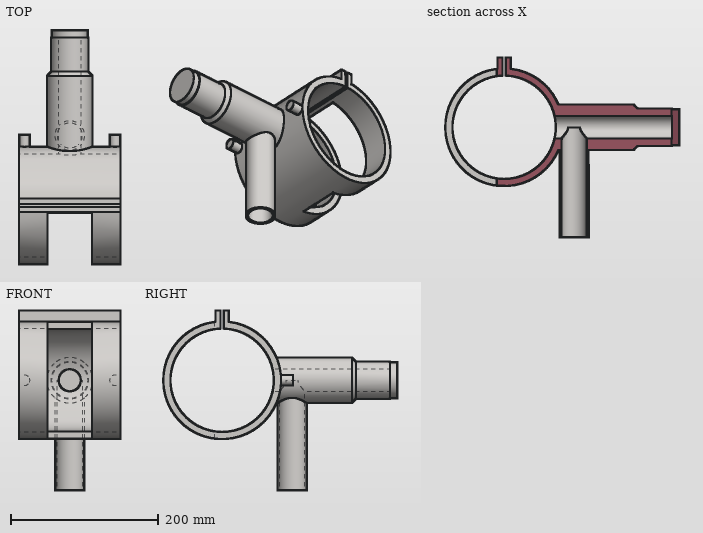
import cadquery as cq
import math

ring_width = 138.0
ring_outer_radius = 80.0
ring_inner_radius = 70.0
slit_width = 4.0
lug_thickness = 7.2
lug_top = 95.0

window_width = 60.0
window_back = -10.0

tube_radius = 31.1
neck_radius = 25.5
bore_radius = 15.0
shoulder_start = 176.0
shoulder_end = shoulder_start + tube_radius - neck_radius
neck_end = 227.78

cap_radius = 24.5
cap_length = 10.0

branch_radius = 20.0
branch_bore_radius = 17.0
branch_y = 95.0
branch_bottom = -149.49

peg_radius = 7.25
peg_end = 96.0
peg_x = 61.5


def height_on_circle(radius, y):
    return math.sqrt(radius**2 - y**2)


def rod_along_y(radius, start, end, x=0.0):
    return cq.Workplane("XZ", origin=(x, start, 0)).circle(radius).extrude(start - end)


def extrude_across_ring(outline):
    return outline.close().extrude(ring_width)


def ring_plane():
    return cq.Workplane("YZ", origin=(-ring_width / 2, 0, 0))


def make_split_ring():
    half_slit = slit_width / 2
    outer_z = height_on_circle(ring_outer_radius, half_slit)
    inner_z = height_on_circle(ring_inner_radius, half_slit)
    outline = (
        ring_plane()
        .moveTo(half_slit, outer_z)
        .threePointArc((0, -ring_outer_radius), (-half_slit, outer_z))
        .lineTo(-half_slit, inner_z)
        .threePointArc((0, -ring_inner_radius), (half_slit, inner_z))
    )
    return extrude_across_ring(outline)


def make_window():
    depth = ring_outer_radius + window_back
    return cq.Workplane("XY").box(window_width, depth, 2 * ring_outer_radius).translate(
        (0, window_back - depth / 2, 0)
    )


def make_lug(side):
    """Clamping lug beside the slit: side is +1 at the back, -1 at the front."""
    inner_face = side * slit_width / 2
    outer_face = side * (slit_width / 2 + lug_thickness)
    foot = height_on_circle(ring_outer_radius, outer_face)
    outline = (
        ring_plane()
        .moveTo(inner_face, foot)
        .lineTo(outer_face, foot)
        .lineTo(outer_face, lug_top)
        .lineTo(inner_face, lug_top)
    )
    return extrude_across_ring(outline)


def make_tube():
    outline = (
        cq.Workplane("XY")
        .lineTo(tube_radius, 0)
        .lineTo(tube_radius, shoulder_start)
        .lineTo(neck_radius, shoulder_end)
        .lineTo(neck_radius, neck_end)
        .lineTo(0, neck_end)
        .close()
    )
    return outline.revolve(360, (0, 0, 0), (0, 1, 0))


def branch_rod(radius):
    """Vertical rod from the open branch end up to the tube axis."""
    return cq.Workplane("XY", origin=(0, branch_y, branch_bottom)).circle(radius).extrude(-branch_bottom)


def make_clamp_body():
    mid_wall = (ring_inner_radius + ring_outer_radius) / 2
    attachments = make_tube().union(branch_rod(branch_radius))
    for x in (-peg_x, peg_x):
        attachments = attachments.union(rod_along_y(peg_radius, mid_wall, peg_end, x))
    attachments = attachments.cut(ring_plane().circle(ring_inner_radius).extrude(ring_width))

    body = make_split_ring().cut(make_window()).union(attachments)
    for side in (-1, 1):
        body = body.union(make_lug(side))

    body = body.cut(rod_along_y(bore_radius, 0, neck_end))
    return body.cut(branch_rod(branch_bore_radius))


def make_end_cap():
    return rod_along_y(cap_radius, neck_end, neck_end + cap_length)


clamp_body = make_clamp_body()
end_cap = make_end_cap()
result = cq.Compound.makeCompound([clamp_body.val(), end_cap.val()])